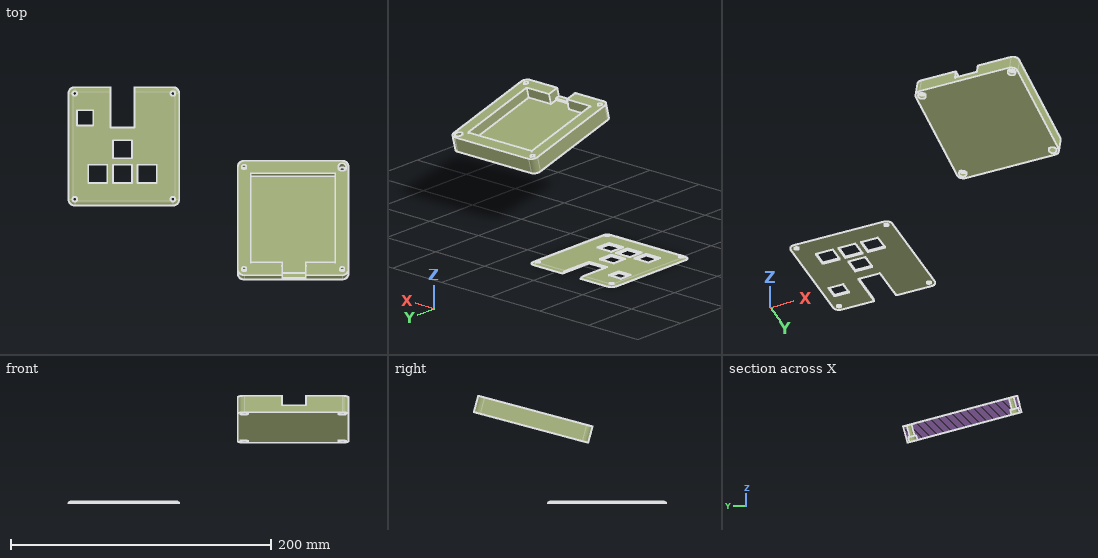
import cadquery as cq
import math

overall_width = 215.3
overall_length = 148.0
overall_height = 82.5

width = 85.3
length = 91.0
corner_radius = 5.0
screw_inset = corner_radius
screw_diameter = 3.5
screw_positions = [
    (x, y)
    for x in (screw_inset, width - screw_inset)
    for y in (screw_inset, length - screw_inset)
]

lid_thickness = 1.5
crown_radius = 5.0
crown_width = math.sqrt(crown_radius**2 - (crown_radius - lid_thickness) ** 2)
lid_slot_width = 18.3
lid_slot_depth = 31.0
lid_slot_center = 41.5
key_width = 14.5
key_height = 13.8
key_pitch = 19.0
key_row_y = 24.3
upper_key_y = key_row_y + key_pitch
small_window_width = 12.3
small_window_height = 11.5
small_window_center = (13.0, 67.4)

case_height = 13.1
case_tilt = 15
rim_width = 10.1
cavity_depth = 9.0
notch_width = lid_slot_width
notch_center = 43.3
notch_depth = 7.5
lip_thickness = 3.9
head_diameter = 6.0
head_depth = 3.9


def rounded_slab(slab_width, slab_length, height, radius):
    """A slab with rounded vertical edges and one corner of its footprint at the origin."""
    return (
        cq.Workplane("XY")
        .box(slab_width, slab_length, height, centered=False)
        .edges("|Z")
        .fillet(radius)
    )


def rectangle_cutter(center, size_x, size_y, bottom, top):
    """A rectangular block centred on a point in plan, between two heights."""
    return (
        cq.Workplane("XY", origin=(center[0], center[1], bottom))
        .rect(size_x, size_y)
        .extrude(top - bottom)
    )


def hole_cutter(points, diameter, bottom, top):
    """Round vertical cutters between two heights."""
    return (
        cq.Workplane("XY", origin=(0, 0, bottom))
        .pushPoints(points)
        .circle(diameter / 2)
        .extrude(top - bottom)
    )


def crowned_plate():
    """The top slice of a larger block whose upper edges are fully rounded."""
    overhang = crown_radius - crown_width
    block_height = 2 * crown_radius
    block = (
        rounded_slab(
            width + 2 * overhang,
            length + 2 * overhang,
            block_height,
            corner_radius + overhang,
        )
        .faces(">Z")
        .edges()
        .fillet(crown_radius)
        .translate((-overhang, -overhang, lid_thickness - block_height))
    )
    slice_box = cq.Workplane("XY").box(width, length, lid_thickness, centered=False)
    return block.intersect(slice_box)


def make_lid():
    key_centers = [(lid_slot_center + column * key_pitch, key_row_y) for column in (-1, 0, 1)]
    key_centers.append((lid_slot_center, upper_key_y))

    lid = crowned_plate()
    slot_center = (lid_slot_center, length - lid_slot_depth / 2)
    lid = lid.cut(rectangle_cutter(slot_center, lid_slot_width, lid_slot_depth, 0, lid_thickness))
    for center in key_centers:
        lid = lid.cut(rectangle_cutter(center, key_width, key_height, 0, lid_thickness))
    lid = lid.cut(
        rectangle_cutter(
            small_window_center, small_window_width, small_window_height, 0, lid_thickness
        )
    )
    lid = lid.cut(hole_cutter(screw_positions, screw_diameter, 0, lid_thickness))
    return lid.translate((0, overall_length - length, 0))


def make_case():
    floor_height = case_height - cavity_depth
    case = rounded_slab(width, length, case_height, corner_radius)

    case = case.cut(
        rectangle_cutter(
            (width / 2, length / 2),
            width - 2 * rim_width,
            length - 2 * rim_width,
            floor_height,
            case_height,
        )
    )
    recess_length = rim_width - lip_thickness
    recess_center = (notch_center, lip_thickness + recess_length / 2)
    case = case.cut(
        rectangle_cutter(recess_center, notch_width, recess_length, floor_height, case_height)
    )
    case = case.cut(
        rectangle_cutter(
            (notch_center, lip_thickness / 2),
            notch_width,
            lip_thickness,
            case_height - notch_depth,
            case_height,
        )
    )

    case = case.cut(hole_cutter(screw_positions, screw_diameter, 0, case_height))
    case = case.cut(hole_cutter(screw_positions, head_diameter, 0, head_depth))
    case = case.cut(hole_cutter(screw_positions[-1:], head_diameter, 0, case_height))

    tilt = math.radians(case_tilt)
    top_edge_height = case_height * math.cos(tilt)
    return case.rotate((0, 0, 0), (1, 0, 0), -case_tilt).translate(
        (overall_width - width, 0, overall_height - top_edge_height)
    )


lid = make_lid()
case = make_case()

result = cq.Compound.makeCompound([lid.val(), case.val()])